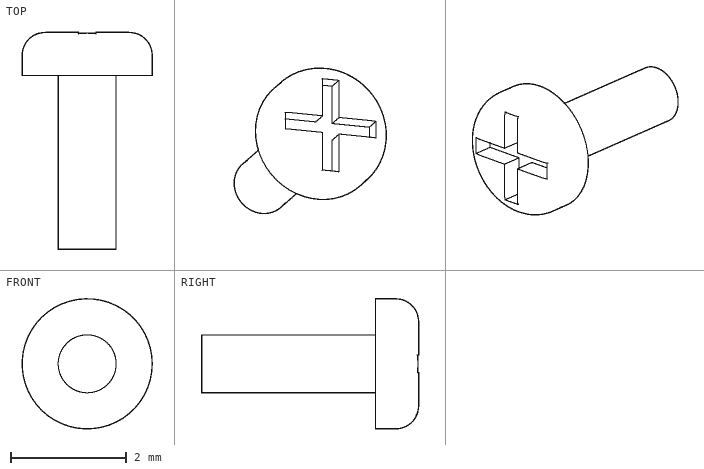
import cadquery as cq

total_length = 3.75
head_diameter = 2.25
head_height = 0.75
head_edge_radius = 0.4
shank_diameter = 1.0

recess_span = 1.65
recess_width = 0.3
recess_depth = 0.375

shank_length = total_length - head_height


def cylinder_along_y(diameter, length):
    """Cylinder starting at the underside of the head (Y = 0) and growing toward +Y."""
    return cq.Workplane("XZ").circle(diameter / 2).extrude(-length)


head = cylinder_along_y(head_diameter, head_height).faces(">Y").edges().fillet(head_edge_radius)

shank = cylinder_along_y(shank_diameter, -shank_length)

recess_floor = head_height - recess_depth
recess = (
    cq.Workplane("XZ", origin=(0, recess_floor, 0))
    .rect(recess_span, recess_width)
    .extrude(-recess_depth)
    .union(
        cq.Workplane("XZ", origin=(0, recess_floor, 0))
        .rect(recess_width, recess_span)
        .extrude(-recess_depth)
    )
)

result = head.union(shank).cut(recess)